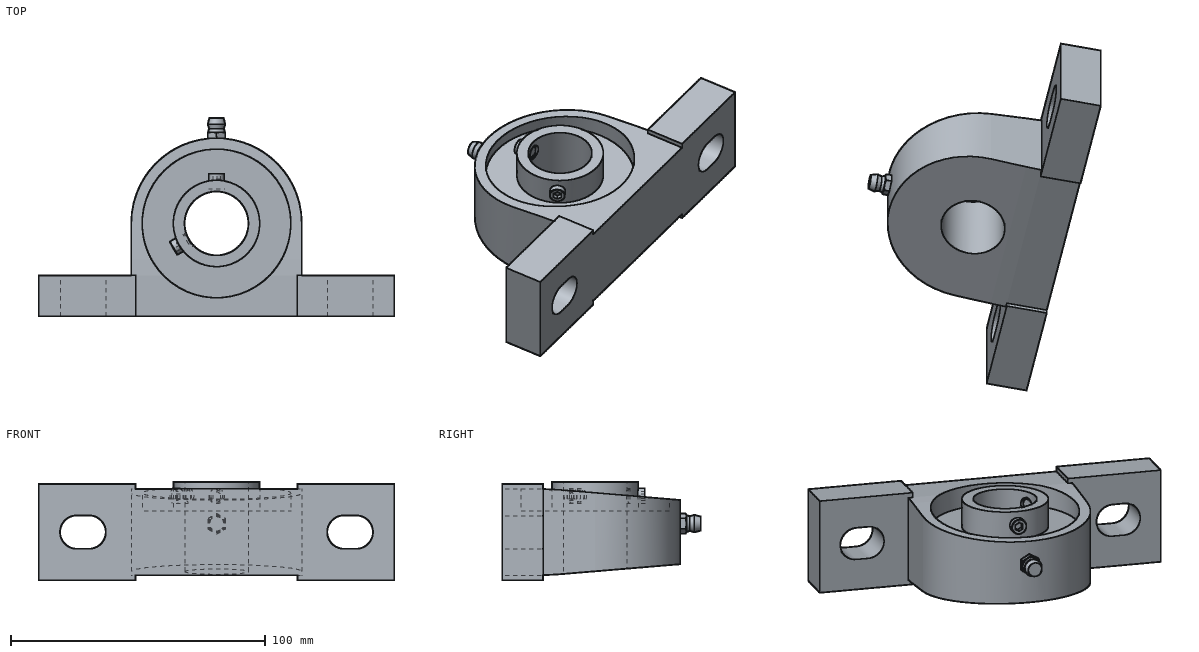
import cadquery as cq
import math


hexagon_turn = 30

base_length = 140.0
base_height = 38.0
base_front_y = -36.5
base_back_y = -20.5
base_depth = base_back_y - base_front_y
waist_length = 63.7
waist_height = 34.0
slot_spacing = 105.1
slot_length = 17.9
slot_width = 13.0

housing_radius = 33.6
housing_end_height = 25.3
shoulder_y = -14.3
shoulder_height = 33.3
pocket_diameter = 58.5
pocket_floor_z = 8.4

ring_diameter = 34.0
bore_diameter = 25.0
ring_rise = 0.8
ring_top_z = base_height / 2 + ring_rise

screw_diameter = 6.0
screw_z = 14.3
screw_inner_end = 12.9
screw_outer_end = 19.6
screw_inner_chamfer = 0.7
screw_outer_chamfer = 0.1
screw_angles = (90, 210)
socket_flats = 3.1
socket_depth = 2.1

nipple_z = 3.4
nipple_hex_flats = 7.0
nipple_hex_end_y = 36.0
nipple_hex_chamfer = 0.4
nipple_groove_y = 37.2
nipple_ridge_y = 39.0
nipple_tip_y = 41.6
nipple_collar_radius = 3.4
nipple_groove_radius = 3.0
nipple_ridge_radius = 3.5
nipple_tip_radius = 2.8
nipple_embed = 1.4
nipple_root_y = housing_radius - nipple_embed


def hexagon_diameter(across_flats):
    """Corner-to-corner size of a hexagon."""
    return across_flats / math.cos(math.pi / 6)


def make_base():
    """Bar with a lower waist in the middle and two slotted holes along Y."""
    base_middle_y = (base_front_y + base_back_y) / 2
    bar = cq.Workplane("XY").box(base_length, base_depth, base_height)
    bar = bar.translate((0, base_middle_y, 0))
    waist_step = (base_height - waist_height) / 2
    for side in (-1, 1):
        step_z = side * (waist_height + waist_step) / 2
        step = cq.Workplane("XY").box(waist_length, base_depth, waist_step)
        bar = bar.cut(step.translate((0, base_middle_y, step_z)))
    slots = (
        cq.Workplane("XZ", origin=(0, base_back_y, 0))
        .pushPoints([(-slot_spacing / 2, 0), (slot_spacing / 2, 0)])
        .slot2D(slot_length, slot_width)
        .extrude(base_depth)
    )
    return bar.cut(slots)


def make_housing():
    """Round-ended block whose top and bottom faces slope towards the round end."""
    plan = (
        cq.Workplane("XY", origin=(0, 0, -base_height / 2))
        .moveTo(-housing_radius, base_back_y)
        .lineTo(housing_radius, base_back_y)
        .lineTo(housing_radius, 0)
        .threePointArc((0, housing_radius), (-housing_radius, 0))
        .close()
        .extrude(base_height)
    )
    taper = (
        cq.Workplane("YZ", origin=(-housing_radius, 0, 0))
        .moveTo(base_back_y, -waist_height / 2)
        .lineTo(shoulder_y, -shoulder_height / 2)
        .lineTo(housing_radius, -housing_end_height / 2)
        .lineTo(housing_radius, housing_end_height / 2)
        .lineTo(shoulder_y, shoulder_height / 2)
        .lineTo(base_back_y, waist_height / 2)
        .close()
        .extrude(2 * housing_radius)
    )
    return plan.intersect(taper)


def cylinder_up(diameter, bottom_z, top_z):
    """Cylinder on the bore axis."""
    return cq.Workplane("XY", origin=(0, 0, bottom_z)).circle(diameter / 2).extrude(top_z - bottom_z)


def make_screw_hole():
    """Radial hole along +X from the bore axis out through the ring wall."""
    return cq.Workplane("YZ", origin=(0, 0, screw_z)).circle(screw_diameter / 2).extrude(ring_diameter / 2)


def make_screw():
    """Set screw along +X with a hexagon socket in its outer end."""
    return (
        cq.Workplane("YZ", origin=(screw_inner_end, 0, screw_z))
        .circle(screw_diameter / 2)
        .extrude(screw_outer_end - screw_inner_end)
        .faces("<X")
        .chamfer(screw_inner_chamfer)
        .faces(">X")
        .chamfer(screw_outer_chamfer)
        .faces(">X")
        .workplane()
        .transformed(rotate=(0, 0, hexagon_turn))
        .polygon(6, hexagon_diameter(socket_flats))
        .cutBlind(-socket_depth)
    )


def make_nipple():
    """Hexagon with a turned, grooved head pointing along +Y."""
    hexagon = (
        cq.Workplane("XZ", origin=(0, nipple_hex_end_y, nipple_z))
        .polygon(6, hexagon_diameter(nipple_hex_flats))
        .extrude(nipple_hex_end_y - nipple_root_y)
        .rotate((0, 0, nipple_z), (0, 1, nipple_z), hexagon_turn)
    )
    corner_radius = hexagon_diameter(nipple_hex_flats) / 2
    turned_blank = (
        cq.Workplane("XZ", origin=(0, nipple_hex_end_y, nipple_z))
        .circle(corner_radius)
        .extrude(nipple_hex_end_y - nipple_root_y)
        .faces(">Y")
        .chamfer(nipple_hex_chamfer, corner_radius - nipple_collar_radius)
    )
    hexagon = hexagon.intersect(turned_blank)
    head = (
        cq.Workplane("XY")
        .moveTo(0, nipple_hex_end_y)
        .lineTo(nipple_collar_radius, nipple_hex_end_y)
        .lineTo(nipple_groove_radius, nipple_groove_y)
        .lineTo(nipple_ridge_radius, nipple_ridge_y)
        .lineTo(nipple_tip_radius, nipple_tip_y)
        .lineTo(0, nipple_tip_y)
        .close()
        .revolve(360, (0, 0, 0), (0, 1, 0))
        .translate((0, 0, nipple_z))
    )
    return hexagon.union(head)


body = make_base().union(make_housing())
body = body.cut(cylinder_up(pocket_diameter, pocket_floor_z, base_height / 2))
body = body.union(cylinder_up(ring_diameter, pocket_floor_z, ring_top_z))
body = body.cut(cylinder_up(bore_diameter, -base_height / 2, ring_top_z))
for angle in screw_angles:
    body = body.cut(make_screw_hole().rotate((0, 0, 0), (0, 0, 1), angle))
    body = body.union(make_screw().rotate((0, 0, 0), (0, 0, 1), angle))

result = body.union(make_nipple())